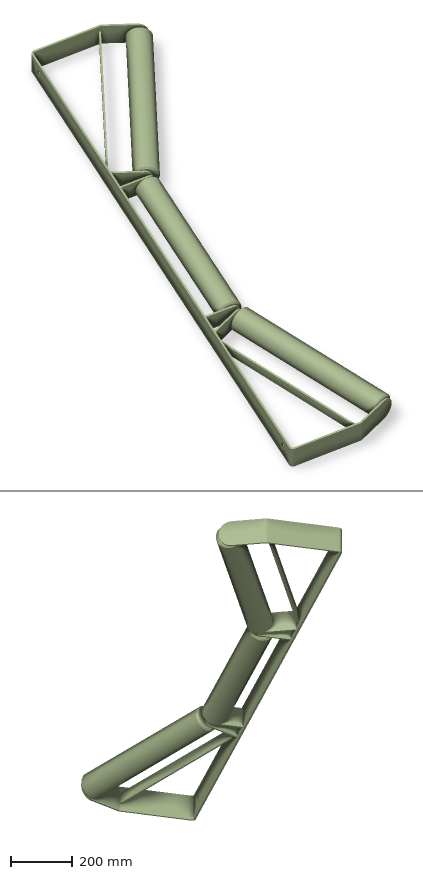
import cadquery as cq
import math

roller_diameter = 89.0
roller_length = 601.0
roller_chamfer = 5.0
shaft_size = 17.0
middle_roller_y = 102.0
side_roller_x = 609.0
side_roller_y = 242.0
trough_angle = 24.5
end_gap = 4.0

overall_length = 1890.0
strip_width = 89.0
strip_thickness = 6.6
bend_radius = 13.0
side_height = 257.0
arm_length = 157.0
arm_corner_radius = 42.0

mount_slot_x = 883.0
mount_slot_length = 30.0
mount_slot_width = 19.0

bracket_height = 132.0
bracket_width = 70.0
bracket_corner_radius = 23.0
brace_top_y = 255.0
brace_foot_x = 390.0
brace_width = 38.0

SIDES = (-1, 1)
half_length = overall_length / 2
tilt = math.radians(trough_angle)
support_distance = roller_length / 2 + end_gap
shaft_length = 2 * (support_distance + strip_thickness)


def extrude_across(points, width):
    """Extrude an outline in the XY plane by a width centred on Z = 0."""
    return cq.Workplane("XY", origin=(0, 0, -width / 2)).polyline(points).close().extrude(width)


def mirror_points(points):
    """Mirror points in X, in reverse order, so that they continue an outline."""
    return [(-x, y) for x, y in reversed(points)]


def at_middle(body):
    """Move a body from the origin to the middle roller's place."""
    return body.translate((0, middle_roller_y, 0))


def at_side(body, side):
    """Move a body from the origin to a side roller's place."""
    tilted = body.rotate((0, 0, 0), (0, 0, 1), side * trough_angle)
    return tilted.translate((side * side_roller_x, side_roller_y, 0))



def round_bends(strip, corners, radius):
    """Round the edges along Z at the given corners and at their mirror images."""
    for x, y in corners + mirror_points(corners):
        strip = strip.edges(cq.selectors.NearestToPointSelector((x, y, 0))).fillet(radius)
    return strip


def make_bent_strip():
    """Base, upright sides and tilted end arms, bent from one strip."""
    inner_x = half_length - strip_thickness
    inner_bend_y = side_height - strip_thickness * math.tan(tilt / 2)
    tip_x = half_length - arm_length * math.sin(tilt)
    tip_y = side_height + arm_length * math.cos(tilt)
    inner_tip = (tip_x - strip_thickness * math.cos(tilt), tip_y - strip_thickness * math.sin(tilt))

    outer_bends = [(half_length, 0), (half_length, side_height)]
    inner_bends = [(inner_x, inner_bend_y), (inner_x, strip_thickness)]
    right_half = outer_bends + [(tip_x, tip_y), inner_tip] + inner_bends
    strip = extrude_across(right_half + mirror_points(right_half), strip_width)

    strip = round_bends(strip, outer_bends, bend_radius)
    strip = round_bends(strip, inner_bends, bend_radius - strip_thickness)
    for side in SIDES:
        through_arm = cq.Vector(math.cos(tilt), side * math.sin(tilt), 0)
        tip_corners = cq.selectors.ParallelDirSelector(through_arm)
        strip = strip.edges(tip_corners).fillet(arm_corner_radius)
    return strip


def make_bracket(side):
    """Folded bracket: upright leg, narrow top and a leg square to the side roller."""
    top_y = bracket_height
    under_y = bracket_height - strip_thickness
    upright_x = support_distance
    upright_back_x = upright_x + strip_thickness
    foot_x = side_roller_x + side_roller_y * math.tan(tilt) - support_distance / math.cos(tilt)
    foot_back_x = foot_x - strip_thickness / math.cos(tilt)
    outline = [
        (upright_x, 0),
        (upright_x, top_y),
        (foot_x - top_y * math.tan(tilt), top_y),
        (foot_x, 0),
        (foot_back_x, 0),
        (foot_back_x - under_y * math.tan(tilt), under_y),
        (upright_back_x, under_y),
        (upright_back_x, 0),
    ]
    folded = extrude_across([(side * x, y) for x, y in outline], bracket_width)
    rounded_top = (
        cq.Workplane("XY")
        .box(overall_length, bracket_height, bracket_width, centered=(True, False, True))
        .edges("|X and >Y")
        .fillet(bracket_corner_radius)
    )
    return folded.intersect(rounded_top)


def make_brace(side):
    """Flat bar from the inside of an upright side down to the base."""
    top_x = half_length - strip_thickness
    foot_y = strip_thickness
    slope = math.atan2(brace_top_y - foot_y, top_x - brace_foot_x)
    outline = [
        (top_x, brace_top_y),
        (brace_foot_x, foot_y),
        (brace_foot_x + strip_thickness / math.sin(slope), foot_y),
        (top_x, brace_top_y - strip_thickness / math.cos(slope)),
    ]
    return extrude_across([(side * x, y) for x, y in outline], brace_width)


def make_shaft_slot():
    """Square-bottomed slot for a shaft on the X axis, open toward +Y."""
    slot = cq.Workplane("XY").box(shaft_length, arm_length, shaft_size, centered=(True, False, True))
    return slot.translate((0, -shaft_size / 2, 0))


def make_mount_slots():
    """Upright slots through both ends of the base."""
    return (
        cq.Workplane("XZ")
        .pushPoints([(side * mount_slot_x, 0) for side in SIDES])
        .slot2D(mount_slot_length, mount_slot_width, 90)
        .extrude(-strip_thickness)
    )


def make_frame():
    """Welded frame with a slot for each shaft end."""
    frame = make_bent_strip()
    for side in SIDES:
        frame = frame.union(make_bracket(side)).union(make_brace(side))
    shaft_slot = make_shaft_slot()
    frame = frame.cut(make_mount_slots()).cut(at_middle(shaft_slot))
    for side in SIDES:
        frame = frame.cut(at_side(shaft_slot, side))
    return frame



def make_roller():
    """Roller on the X axis, centred on the origin, with its shaft ends."""
    roller = (
        cq.Workplane("YZ", origin=(-roller_length / 2, 0, 0))
        .circle(roller_diameter / 2)
        .extrude(roller_length)
        .faces("<X or >X")
        .chamfer(roller_chamfer)
    )
    return roller.union(cq.Workplane("XY").box(shaft_length, shaft_size, shaft_size))


def make_roller_half(side):
    """Half of a roller, on one side of its lengthwise XZ plane."""
    half_space = cq.Workplane("XY").box(shaft_length, roller_diameter, roller_diameter)
    half_space = half_space.translate((0, side * roller_diameter / 2, 0))
    return make_roller().intersect(half_space)


frame = make_frame()
side_rollers = [at_side(make_roller(), side) for side in SIDES]
middle_roller_halves = [at_middle(make_roller_half(side)) for side in SIDES]

bodies = [frame, *side_rollers, *middle_roller_halves]
result = cq.Compound.makeCompound([solid for body in bodies for solid in body.solids().vals()])